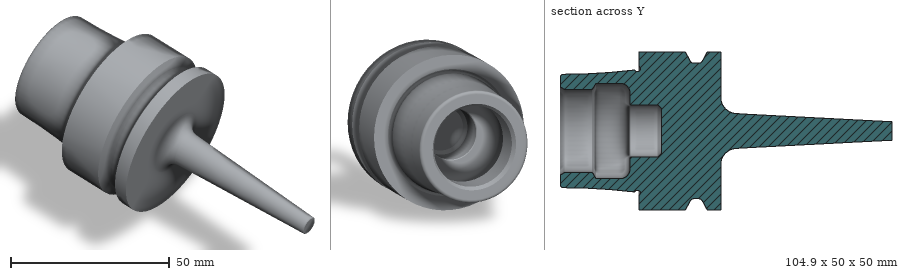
import cadquery as cq
import math


flange_radius = 25.0
flange_length = 25.9
groove_center_x = 18.1
groove_width = 6.8
groove_floor_radius = 21.5
groove_flank_angle = math.radians(28.0)
groove_floor_fillet = 1.0

shank_length = 24.9
shank_end_radius = 18.0
shank_large_radius = 19.3
shank_end_fillet = 1.0
shank_flank_end_x = -1.9

neck_radius = 18.9
neck_start_x = -0.95
land_end_x = -1.25
undercut_fillet = 0.7
undercut_fillet_start_x = -0.3
undercut_face_angle = math.radians(18.0)
undercut_outer_radius = 20.4

tip_x = 80.0
tip_radius = 3.0
tip_chamfer = 0.2
arbor_half_angle = math.radians(3.0)
arbor_root_fillet = 5.0

mouth_radius = 13.9
lip_radius = 13.0
mouth_chamfer_length = 1.5
lip_end_depth = 10.2
chamber_radius = 15.0
chamber_cone_angle = math.radians(60.0)
chamber_fillet = 3.0
chamber_depth = 22.0

hole_radius = 8.2
hole_mouth_chamfer = 0.25
hole_depth = 10.0
hole_floor_radius = 7.1
hole_cone_angle = math.radians(45.0)


def revolve_about_x(profile):
    """Turn a closed half profile, drawn in X and radius, into a solid."""
    return profile.revolve(360, (0, 0, 0), (1, 0, 0))


def make_body():
    """Revolve the outside profile, groove excluded."""
    end_x = -shank_length
    fillet_x = end_x + shank_end_fillet
    fillet_center_r = shank_end_radius - shank_end_fillet
    fillet_diagonal = shank_end_fillet * math.sqrt(0.5)

    arc_center_r = neck_radius + undercut_fillet

    def undercut_point(angle):
        return (
            undercut_fillet_start_x + undercut_fillet * math.cos(angle),
            arc_center_r + undercut_fillet * math.sin(angle),
        )

    arc_start_angle = -math.pi / 2
    arc_end_angle = undercut_face_angle
    arc_middle_angle = (arc_start_angle + arc_end_angle) / 2

    slope = math.tan(arbor_half_angle)
    root_center_x = flange_length + arbor_root_fillet
    cone_radius_there = tip_radius + (tip_x - root_center_x) * slope
    root_center_r = cone_radius_there + arbor_root_fillet / math.cos(arbor_half_angle)

    def root_point(angle):
        return (
            root_center_x - arbor_root_fillet * math.cos(angle),
            root_center_r - arbor_root_fillet * math.sin(angle),
        )

    root_end_angle = math.pi / 2 - arbor_half_angle

    profile = (
        cq.Workplane("XY")
        .moveTo(end_x, 0)
        .lineTo(end_x, fillet_center_r)
        .threePointArc(
            (fillet_x - fillet_diagonal, fillet_center_r + fillet_diagonal),
            (fillet_x, shank_end_radius),
        )
        .tangentArcPoint((shank_flank_end_x, shank_large_radius), relative=False)
        .lineTo(land_end_x, shank_large_radius)
        .lineTo(neck_start_x, neck_radius)
        .lineTo(*undercut_point(arc_start_angle))
        .threePointArc(undercut_point(arc_middle_angle), undercut_point(arc_end_angle))
        .lineTo(0, undercut_outer_radius)
        .lineTo(0, flange_radius)
        .lineTo(flange_length, flange_radius)
        .lineTo(*root_point(0))
        .threePointArc(root_point(root_end_angle / 2), root_point(root_end_angle))
        .lineTo(tip_x - tip_chamfer, tip_radius + tip_chamfer * slope)
        .lineTo(tip_x, tip_radius - tip_chamfer)
        .lineTo(tip_x, 0)
        .close()
    )
    return revolve_about_x(profile)


def make_groove():
    """Ring of the gripper groove, with rounded floor corners."""
    flank_run = (flange_radius - groove_floor_radius) * math.tan(groove_flank_angle)
    mouth_half = groove_width / 2
    floor_half = mouth_half - flank_run
    profile = (
        cq.Workplane("XY")
        .moveTo(groove_center_x - mouth_half, flange_radius)
        .lineTo(groove_center_x - floor_half, groove_floor_radius)
        .lineTo(groove_center_x + floor_half, groove_floor_radius)
        .lineTo(groove_center_x + mouth_half, flange_radius)
        .close()
    )
    smallest_circles = cq.selectors.RadiusNthSelector(0)
    return revolve_about_x(profile).edges(smallest_circles).fillet(groove_floor_fillet)


def make_socket():
    """Stepped socket: chamfered lip, wider chamber behind it."""
    mouth_x = -shank_length
    lip_end_x = mouth_x + lip_end_depth
    cone_end_x = lip_end_x + (chamber_radius - lip_radius) / math.tan(chamber_cone_angle)
    floor_x = mouth_x + chamber_depth
    fillet_diagonal = chamber_fillet * math.sqrt(0.5)
    fillet_center_x = floor_x - chamber_fillet
    fillet_center_r = chamber_radius - chamber_fillet
    profile = (
        cq.Workplane("XY")
        .moveTo(mouth_x, 0)
        .lineTo(mouth_x, mouth_radius)
        .lineTo(mouth_x + mouth_chamfer_length, lip_radius)
        .lineTo(lip_end_x, lip_radius)
        .lineTo(cone_end_x, chamber_radius)
        .lineTo(fillet_center_x, chamber_radius)
        .threePointArc(
            (fillet_center_x + fillet_diagonal, fillet_center_r + fillet_diagonal),
            (floor_x, fillet_center_r),
        )
        .lineTo(floor_x, 0)
        .close()
    )
    return revolve_about_x(profile)


def make_hole():
    """Blind hole with a mouth chamfer and a conical end above its flat floor."""
    mouth_x = chamber_depth - shank_length
    floor_x = mouth_x + hole_depth
    cone_start_x = floor_x - (hole_radius - hole_floor_radius) / math.tan(hole_cone_angle)
    profile = (
        cq.Workplane("XY")
        .moveTo(mouth_x, 0)
        .lineTo(mouth_x, hole_radius + hole_mouth_chamfer)
        .lineTo(mouth_x + hole_mouth_chamfer, hole_radius)
        .lineTo(cone_start_x, hole_radius)
        .lineTo(floor_x, hole_floor_radius)
        .lineTo(floor_x, 0)
        .close()
    )
    return revolve_about_x(profile)


result = make_body().cut(make_groove()).cut(make_socket()).cut(make_hole())